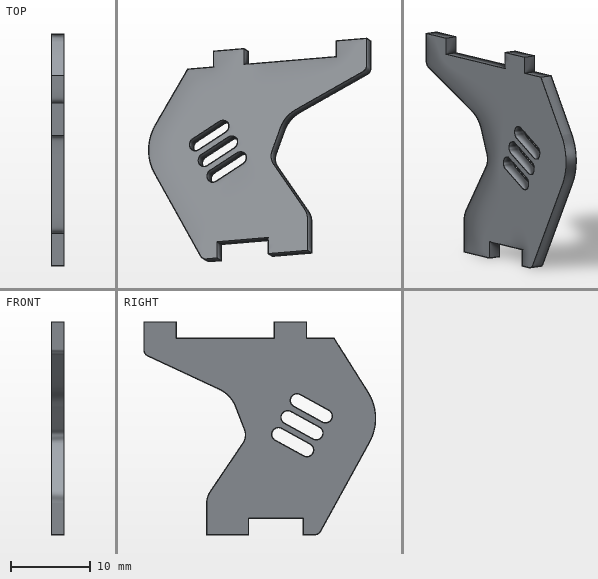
import cadquery as cq
import math

thickness = 1.63
depth = 29.28
height = 26.89

tab_width = 4.1
tab_height = 2.05
ledge_z = height - tab_height
inner_tab_start_y = 16.46

foot_front_y = 7.93
notch_start_y = 13.23
notch_end_y = 20.1
notch_height = 2.1

upper_back_lean = math.radians(32.25)
lower_back_lean = math.radians(28.8)
back_radius = 6.2
back_arc_center_z = 14.71
back_arc_center_y = depth - back_radius
back_half_turn = (upper_back_lean + lower_back_lean) / 2
back_tilt = (upper_back_lean - lower_back_lean) / 2
back_corner_distance = back_radius / math.cos(back_half_turn)
back_corner_y = back_arc_center_y + back_corner_distance * math.cos(back_tilt)
back_corner_z = back_arc_center_z + back_corner_distance * math.sin(back_tilt)
back_top_y = back_corner_y - (ledge_z - back_corner_z) * math.tan(upper_back_lean)
back_foot_y = back_corner_y - back_corner_z * math.tan(lower_back_lean)

arm_tip = (0, 22.83)
elbow = (11.0, 17.7)
knee = (13.05, 12.39)
shin = (foot_front_y, 4.8)
back_corner = (back_corner_y, back_corner_z)
back_foot = (back_foot_y, 0)

small_radius = 0.88
elbow_radius = 4.0
knee_radius = 1.85
shin_radius = 2.55
rounded_corners = [
    (arm_tip, small_radius),
    (elbow, elbow_radius),
    (knee, knee_radius),
    (shin, shin_radius),
    (back_corner, back_radius),
    (back_foot, small_radius),
]

slot_count = 3
slot_width = 1.68
slot_center_distance = 4.1
slot_pitch = 2.44
slot_group_center = (19.97, 13.85)
slot_tilt = lower_back_lean


def make_plate():
    outline = [
        arm_tip,
        (0, height),
        (tab_width, height),
        (tab_width, ledge_z),
        (inner_tab_start_y, ledge_z),
        (inner_tab_start_y, height),
        (inner_tab_start_y + tab_width, height),
        (inner_tab_start_y + tab_width, ledge_z),
        (back_top_y, ledge_z),
        back_corner,
        back_foot,
        (notch_end_y, 0),
        (notch_end_y, notch_height),
        (notch_start_y, notch_height),
        (notch_start_y, 0),
        (foot_front_y, 0),
        shin,
        knee,
        elbow,
    ]
    return cq.Workplane("YZ").polyline(outline).close().extrude(thickness / 2, both=True)


def round_corners(plate):
    for (y, z), radius in rounded_corners:
        corner_edge = cq.selectors.NearestToPointSelector((0, y, z))
        plate = plate.edges(corner_edge).fillet(radius)
    return plate


def make_slots():
    centers = []
    for index in range(slot_count):
        offset = (index - (slot_count - 1) / 2) * slot_pitch
        center_y = slot_group_center[0] + offset * math.sin(slot_tilt)
        center_z = slot_group_center[1] + offset * math.cos(slot_tilt)
        centers.append((center_y, center_z))
    slot_angle = -math.degrees(slot_tilt)
    slot_length = slot_center_distance + slot_width
    return (
        cq.Workplane("YZ")
        .pushPoints(centers)
        .slot2D(slot_length, slot_width, slot_angle)
        .extrude(thickness, both=True)
    )


result = round_corners(make_plate()).cut(make_slots())